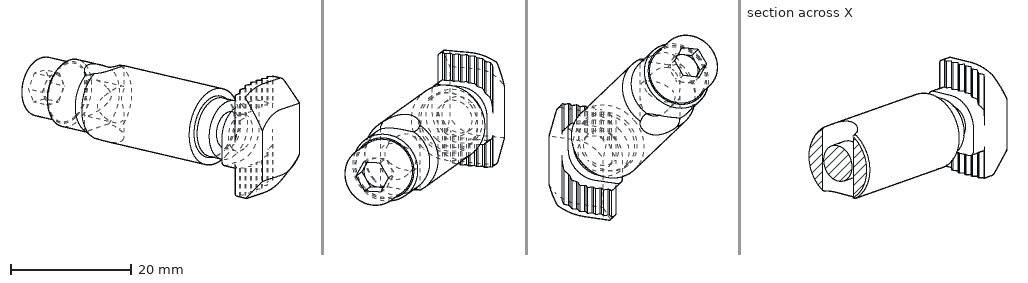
import cadquery as cq
import math

TOTAL_LENGTH = 52.4
SHANK_END = 6.05
TAPER_START = 12.55
TAPER_END = 14.55
SLEEVE_END = 37.9
FLANGE_RING_END = 38.35
COLLAR_END = 41.0
BOSS_START = 43.6
HEAD_START = 46.5

SHANK_DIAMETER = 10.0
SHOULDER_DIAMETER = 10.5
FRONT_DIAMETER = 11.5
SLEEVE_DIAMETER = 13.0
STUD_DIAMETER = 6.25

SHOULDER_CHAMFER = (FRONT_DIAMETER - SHOULDER_DIAMETER) / 2
SHANK_EDGE_RADIUS = 0.6

SOCKET_FLATS = 5.0
SOCKET_DEPTH = 3.0
SOCKET_TURN = 28.0
DRILL_POINT_ANGLE = 118.0

CROSS_HOLE_DIAMETER = 6.6
CROSS_HOLE_X = 14.05

HEAD_WIDTH = 9.7
HEAD_HEIGHT = 19.0
HEAD_CHAMFER = 3.8
HEAD_CORNER_RADIUS = 0.5
BOSS_CORNER_RADIUS = 1.0

TOOTH_PITCH = 1.4
TOOTH_TIP_WIDTH = 0.25
GROOVE_HALF_WIDTH = (TOOTH_PITCH - TOOTH_TIP_WIDTH) / 2
GROOVES_PER_SIDE = 3


def turned_body():
    """Revolve the stepped body around X and round its free end."""
    shank = SHANK_DIAMETER / 2
    shoulder = SHOULDER_DIAMETER / 2
    front = FRONT_DIAMETER / 2
    sleeve = SLEEVE_DIAMETER / 2
    stud = STUD_DIAMETER / 2
    profile = [
        (0, 0),
        (0, shank),
        (SHANK_END, shank),
        (SHANK_END, shoulder),
        (SHANK_END + SHOULDER_CHAMFER, front),
        (TAPER_START, front),
        (TAPER_END, sleeve),
        (SLEEVE_END, sleeve),
        (SLEEVE_END, shoulder),
        (FLANGE_RING_END, shank),
        (COLLAR_END, shank),
        (COLLAR_END, stud),
        (BOSS_START, stud),
        (BOSS_START, 0),
    ]
    body = cq.Workplane("XY").polyline(profile).close().revolve(360, (0, 0, 0), (1, 0, 0))
    return body.faces("<X").edges().fillet(SHANK_EDGE_RADIUS)


def cut_cross_hole(body):
    """Drill the sleeve along Z, leaving the stud standing in the hole."""
    hole = (
        cq.Workplane("XY")
        .center(CROSS_HOLE_X, 0)
        .circle(CROSS_HOLE_DIAMETER / 2)
        .extrude(SLEEVE_DIAMETER, both=True)
    )
    stud = cq.Workplane("YZ").circle(STUD_DIAMETER / 2).extrude(SLEEVE_END)
    return body.cut(hole.cut(stud))


def cut_hex_socket(body):
    """Cut the hex socket and the drill point below its floor."""
    hexagon = (
        cq.Workplane("YZ")
        .polygon(6, SOCKET_FLATS, circumscribed=True)
        .extrude(SOCKET_DEPTH)
        .rotate((0, 0, 0), (1, 0, 0), SOCKET_TURN)
    )
    drill_radius = SOCKET_FLATS / 2
    point_depth = drill_radius / math.tan(math.radians(DRILL_POINT_ANGLE / 2))
    drill_point = (
        cq.Workplane("XY")
        .polyline([(SOCKET_DEPTH, 0), (SOCKET_DEPTH, drill_radius), (SOCKET_DEPTH + point_depth, 0)])
        .close()
        .revolve(360, (0, 0, 0), (1, 0, 0))
    )
    return body.cut(hexagon).cut(drill_point)


def quarter_turn_block(start, length, width, height):
    """Block along X with square +Y+Z and -Y-Z corners and round sweeps at the other two."""
    half_width = width / 2
    radius = height / 2
    side_angle = math.acos(half_width / radius)
    middle_angle = (side_angle + math.pi / 2) / 2
    side_z = radius * math.sin(side_angle)
    arc_y = radius * math.cos(middle_angle)
    arc_z = radius * math.sin(middle_angle)
    return (
        cq.Workplane("YZ", origin=(start, 0, 0))
        .moveTo(0, radius)
        .lineTo(half_width, radius)
        .lineTo(half_width, -side_z)
        .threePointArc((arc_y, -arc_z), (0, -radius))
        .lineTo(-half_width, -radius)
        .lineTo(-half_width, side_z)
        .threePointArc((-arc_y, arc_z), (0, radius))
        .close()
        .extrude(length)
    )


def round_corners(block, radius, include_arc_corners):
    """Round the square corners of a quarter-turn block, and its arc-to-side corners if asked."""
    def is_corner(edge):
        center = edge.Center()
        corner_product = center.y * center.z
        is_square = corner_product > radius
        is_arc_corner = corner_product < -radius
        return is_square or (include_arc_corners and is_arc_corner)

    return block.edges("|X").filter(is_corner).fillet(radius)


def toothed_head():
    """T-head with sloped end faces and V grooves on its clamping face."""
    head = quarter_turn_block(HEAD_START, TOTAL_LENGTH - HEAD_START, HEAD_WIDTH, HEAD_HEIGHT)
    head = head.faces(">X").edges("not |Z").chamfer(HEAD_CHAMFER)
    head = round_corners(head, HEAD_CORNER_RADIUS, include_arc_corners=True)
    for index in range(-GROOVES_PER_SIDE, GROOVES_PER_SIDE + 1):
        groove_y = index * TOOTH_PITCH
        groove = (
            cq.Workplane("XY")
            .moveTo(HEAD_START, groove_y - GROOVE_HALF_WIDTH)
            .lineTo(HEAD_START + GROOVE_HALF_WIDTH, groove_y)
            .lineTo(HEAD_START, groove_y + GROOVE_HALF_WIDTH)
            .close()
            .extrude(HEAD_HEIGHT, both=True)
        )
        head = head.cut(groove)
    return head


def boss():
    """Boss behind the head, long enough to fill the grooves it covers."""
    length = HEAD_START + GROOVE_HALF_WIDTH - BOSS_START
    block = quarter_turn_block(BOSS_START, length, HEAD_WIDTH, HEAD_WIDTH)
    return round_corners(block, BOSS_CORNER_RADIUS, include_arc_corners=False)


bolt = cut_hex_socket(cut_cross_hole(turned_body()))
result = bolt.union(boss()).union(toothed_head())